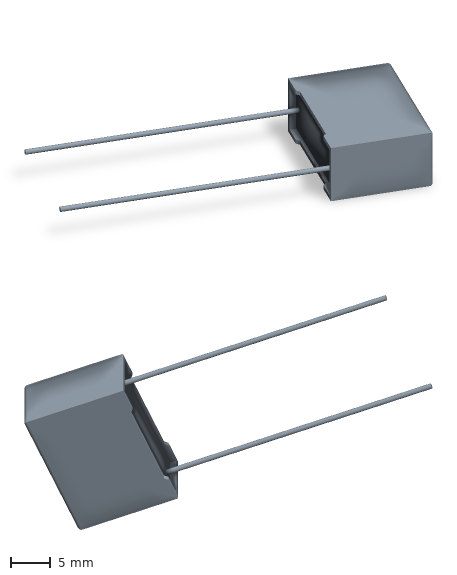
import cadquery as cq

total_length = 48.6
case_width = 18.3
case_height = 7.75
case_depth = 13.5
wall = 0.6
back_edge_radius = 0.5

relief_depth = 0.45
relief_width = 11.95

fill_setback = 0.87

lead_diameter = 0.7
lead_pitch = 15.0
lead_tip_y = case_depth - total_length

cavity_width = case_width - 2 * wall
cavity_height = case_height - 2 * wall
cavity_bottom_y = case_depth - wall


def block(width, height, y_start, y_end):
    """Rectangular block centred in X and Z, spanning y_start to y_end."""
    length = y_end - y_start
    middle_y = (y_start + y_end) / 2
    return cq.Workplane("XY").box(width, length, height).translate((0, middle_y, 0))


def make_rim_relief():
    """Trapezoidal cutter with 45 degree ends, running through both wide walls."""
    outer = relief_width / 2
    inner = outer - relief_depth
    outline = [(-outer, 0), (outer, 0), (inner, relief_depth), (-inner, relief_depth)]
    return cq.Workplane("XY").polyline(outline).close().extrude(case_height / 2, both=True)


def make_case():
    """Open box with rounded edges around its closed back."""
    shell = block(case_width, case_height, 0, case_depth).faces(">Y").edges().fillet(back_edge_radius)
    cavity = block(cavity_width, cavity_height, 0, cavity_bottom_y)
    return shell.cut(cavity).cut(make_rim_relief())


def make_fill():
    """Compound that fills the cavity up to the setback."""
    return block(cavity_width, cavity_height, fill_setback, cavity_bottom_y)


def make_lead(x):
    """Straight round lead from the face of the fill to its free tip."""
    lead_length = fill_setback - lead_tip_y
    face = cq.Workplane("XZ", origin=(x, fill_setback, 0))
    return face.circle(lead_diameter / 2).extrude(lead_length)


case = make_case()
fill = make_fill()
leads = [make_lead(side * lead_pitch / 2) for side in (-1, 1)]

result = cq.Compound.makeCompound([case.val(), fill.val(), *[lead.val() for lead in leads]])